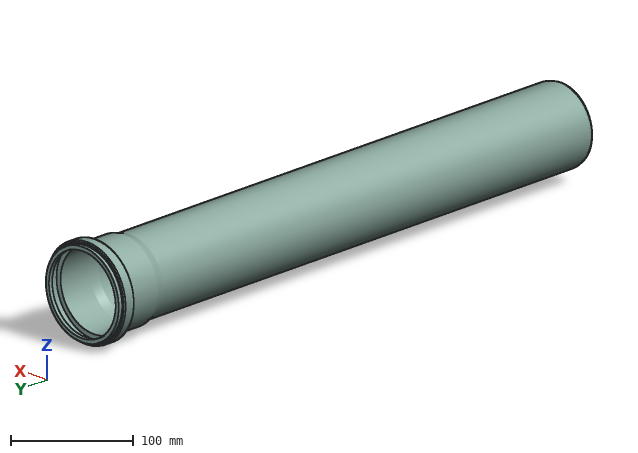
import cadquery as cq

length = 555.0
pipe_diameter = 75.0
bore_diameter = 71.0
spigot_chamfer_length = 4.0
spigot_chamfer_depth = 1.0

socket_diameter = 80.0
socket_bore_diameter = 76.0
socket_depth = 47.0
socket_taper_length = 8.5

bead_diameter = 89.5
groove_diameter = 85.5
lip_diameter = 83.0
bead_length = 15.5
lip_length = 4.0
bead_back_chamfer = 1.0
bead_front_chamfer = 1.0
bead_wall = (bead_diameter - groove_diameter) / 2

spigot_end = -length / 2
mouth = length / 2
socket_shoulder = mouth - socket_depth
pipe_start = socket_shoulder - socket_taper_length
bead_back = mouth - bead_length
bead_front = mouth - lip_length
groove_back = bead_back + bead_wall

pipe_radius = pipe_diameter / 2
bore_radius = bore_diameter / 2
socket_radius = socket_diameter / 2
socket_bore_radius = socket_bore_diameter / 2
bead_radius = bead_diameter / 2
groove_radius = groove_diameter / 2
lip_radius = lip_diameter / 2

outer_wall = [
    (pipe_radius - spigot_chamfer_depth, spigot_end),
    (pipe_radius, spigot_end + spigot_chamfer_length),
    (pipe_radius, pipe_start),
    (socket_radius, socket_shoulder),
    (socket_radius, bead_back),
    (bead_radius - bead_back_chamfer, bead_back),
    (bead_radius, bead_back + bead_back_chamfer),
    (bead_radius, bead_front - bead_front_chamfer),
    (bead_radius - bead_front_chamfer, bead_front),
    (lip_radius, bead_front),
    (lip_radius, mouth),
]

inner_wall = [
    (socket_bore_radius, mouth),
    (socket_bore_radius, bead_front),
    (groove_radius, bead_front),
    (groove_radius, groove_back),
    (socket_bore_radius, groove_back),
    (socket_bore_radius, socket_shoulder),
    (bore_radius, pipe_start),
    (bore_radius, spigot_end),
]

result = (
    cq.Workplane("XY")
    .polyline(outer_wall + inner_wall)
    .close()
    .revolve(360, (0, 0, 0), (0, 1, 0))
)